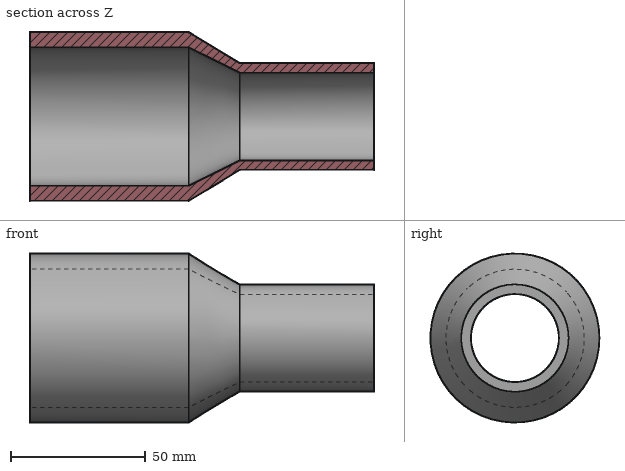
import cadquery as cq

total_length = 128.0
wide_length = 59.0
narrow_length = 50.0
wide_outer_diameter = 63.0
wide_bore_diameter = 51.5
narrow_outer_diameter = 40.0
narrow_bore_diameter = 32.6

cone_start = wide_length
cone_end = total_length - narrow_length


def stepped_solid(wide_diameter, narrow_diameter):
    """Solid of revolution about X: wide cylinder, cone, narrow cylinder."""
    wide_radius = wide_diameter / 2
    narrow_radius = narrow_diameter / 2
    profile = [
        (0, 0),
        (0, wide_radius),
        (cone_start, wide_radius),
        (cone_end, narrow_radius),
        (total_length, narrow_radius),
        (total_length, 0),
    ]
    return cq.Workplane("XY").polyline(profile).close().revolve(360, (0, 0, 0), (1, 0, 0))


body = stepped_solid(wide_outer_diameter, narrow_outer_diameter)
bore = stepped_solid(wide_bore_diameter, narrow_bore_diameter)

result = body.cut(bore)